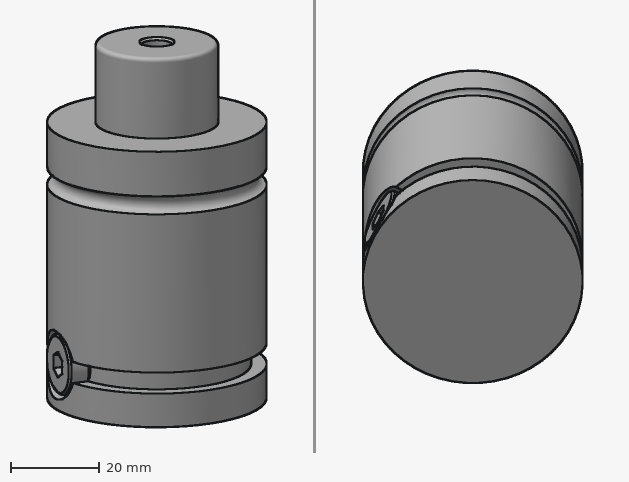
import cadquery as cq
import math

total_height = 84.0
body_diameter = 50.0
body_radius = body_diameter / 2
body_height = 65.1

rod_diameter = 28.0
rod_rim_radius = 1.0
rod_hole_mouth_diameter = 8.0
rod_hole_diameter = 6.8
rod_hole_depth = 12.6
drill_tip_angle = 118.0

round_groove_z = 52.4
round_groove_radius = 2.1

square_groove_bottom = 8.0
square_groove_width = 4.95
square_groove_depth = 3.5

plug_z = 10.4
pocket_diameter = 16.0
pocket_floor_inset = 5.3
plug_diameter = 14.0
plug_face_inset = 0.6
plug_chamfer = 0.5
hex_across_flats = 5.2
hex_depth = 3.7


def side_plane(inset):
    """Plane facing -Y at the plug height, set in from the body's outer side."""
    origin = (0, inset - body_radius, plug_z)
    return cq.Workplane(cq.Plane(origin=origin, xDir=(1, 0, 0), normal=(0, -1, 0)))


def make_body():
    body = cq.Workplane("XY").circle(body_radius).extrude(body_height)
    rod = cq.Workplane("XY").circle(rod_diameter / 2).extrude(total_height)
    return body.union(rod.faces(">Z").edges().fillet(rod_rim_radius))


def make_rod_hole():
    """Drilled hole with a chamfered mouth and a conical end."""
    mouth_radius = rod_hole_mouth_diameter / 2
    radius = rod_hole_diameter / 2
    mouth_chamfer = mouth_radius - radius
    bottom = total_height - rod_hole_depth
    tip_length = radius / math.tan(math.radians(drill_tip_angle / 2))
    return (
        cq.Workplane("XZ")
        .moveTo(0, total_height)
        .lineTo(mouth_radius, total_height)
        .lineTo(radius, total_height - mouth_chamfer)
        .lineTo(radius, bottom)
        .lineTo(0, bottom - tip_length)
        .close()
        .revolve(360, (0, 0), (0, 1))
    )


def make_round_groove():
    """Ring of round section, centred on the body's side."""
    return (
        cq.Workplane("XZ")
        .center(body_radius, round_groove_z)
        .circle(round_groove_radius)
        .revolve(360, (-body_radius, 0), (-body_radius, 1))
    )


def make_square_groove():
    floor_radius = body_radius - square_groove_depth
    section = cq.Workplane("XY").workplane(offset=square_groove_bottom)
    return section.circle(body_radius).circle(floor_radius).extrude(square_groove_width)


def make_pocket():
    return side_plane(pocket_floor_inset).circle(pocket_diameter / 2).extrude(pocket_floor_inset)


def make_plug():
    """Plug with a chamfered rim and a hexagon socket."""
    length = pocket_floor_inset - plug_face_inset
    plug = side_plane(pocket_floor_inset).circle(plug_diameter / 2).extrude(length)
    plug = plug.faces("<Y").edges().chamfer(plug_chamfer)
    hex_across_corners = hex_across_flats / math.cos(math.pi / 6)
    socket = (
        side_plane(plug_face_inset)
        .transformed(rotate=(0, 0, 90))
        .polygon(6, hex_across_corners)
        .extrude(-hex_depth)
    )
    return plug.cut(socket)


result = (
    make_body()
    .cut(make_rod_hole())
    .cut(make_round_groove())
    .cut(make_square_groove())
    .cut(make_pocket())
    .union(make_plug())
)